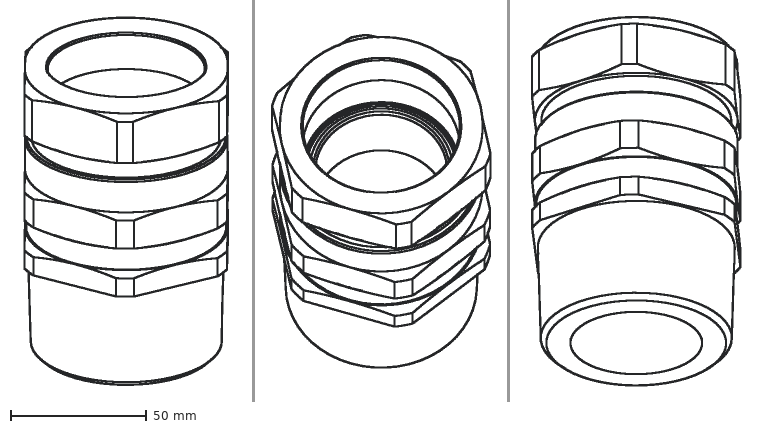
import cadquery as cq
import math


HEIGHT = 117.2
ENTRY_HEX_BOTTOM = 40.1
ENTRY_HEX_TOP = 49.0
BODY_BOTTOM = 58.3
BODY_HEX_TOP = 72.7
BODY_SHOULDER = 85.8
CAP_BOTTOM = 93.3
NECK_TOP = 99.8
CAP_HEX_TOP = 113.3

FLAT_RADIUS = 37.5
CAP_CORNER_RADIUS = 41.7
CORNER_RADIUS = 41.5
NECK_RADIUS = 35.2
SLEEVE_RADIUS = 37.0
SPIGOT_TOP_RADIUS = 36.5
SPIGOT_BOTTOM_RADIUS = 35.4

BORE_RADIUS = 29.1
LIP_RADIUS = 29.7
LIP_FILLET = 2.8
LIP_DEPTH = 3.5
LEDGE_HEIGHT = 84.4
LEDGE_INNER_RADIUS = 28.4
VALLEY_HEIGHT = 83.6
VALLEY_RADIUS = 27.9
RIM_HEIGHT = 84.2
RIM_OUTER_RADIUS = 26.5
RIM_INNER_RADIUS = 25.2
RIM_CHAMFER_DEPTH = 1.0
PASSAGE_RADIUS = 24.4

COLLAR_FILLET = 1.0
SHOULDER_CHAMFER = 0.7
SPIGOT_CHAMFER = 2.1
HEX_CHAMFER_ANGLE = 20.0


def turned(points):
    """Solid of revolution about Z from (radius, height) points."""
    return cq.Workplane("XZ").polyline(points).close().revolve(360, (0, 0), (0, 1))


def cylinder(radius, bottom, top):
    return cq.Workplane("XY").workplane(offset=bottom).circle(radius).extrude(top - bottom)


def hexagon(bottom, top, corner_radius, bottom_chamfer=True):
    """Hexagon with flats on +X and -X, its corners turned round and chamfered."""
    drop = (corner_radius - FLAT_RADIUS) * math.tan(math.radians(HEX_CHAMFER_ANGLE))
    across_corners = 2 * FLAT_RADIUS / math.cos(math.pi / 6)
    prism = (
        cq.Workplane("XY")
        .workplane(offset=bottom)
        .polygon(6, across_corners)
        .extrude(top - bottom)
        .rotate((0, 0, 0), (0, 0, 1), 30)
    )
    if bottom_chamfer:
        lower_edge = [(FLAT_RADIUS, bottom), (corner_radius, bottom + drop)]
    else:
        lower_edge = [(corner_radius, bottom)]
    upper_edge = [(corner_radius, top - drop), (FLAT_RADIUS, top)]
    blank = turned([(0, bottom)] + lower_edge + upper_edge + [(0, top)])
    return prism.intersect(blank)


def make_entry():
    """Tapered spigot, hexagon and sleeve, with the lower part of the narrow bore."""
    spigot = turned([
        (0, 0),
        (SPIGOT_BOTTOM_RADIUS - SPIGOT_CHAMFER, 0),
        (SPIGOT_BOTTOM_RADIUS, SPIGOT_CHAMFER),
        (SPIGOT_TOP_RADIUS, ENTRY_HEX_BOTTOM),
        (0, ENTRY_HEX_BOTTOM),
    ])
    flange = hexagon(ENTRY_HEX_BOTTOM, ENTRY_HEX_TOP, CORNER_RADIUS, bottom_chamfer=False)
    sleeve = cylinder(SLEEVE_RADIUS, ENTRY_HEX_TOP, BODY_BOTTOM)
    bore = cylinder(PASSAGE_RADIUS, 0, BODY_BOTTOM)
    return spigot.union(flange).union(sleeve).cut(bore)


def make_body():
    """Hexagon, barrel and neck, with a valley and a rim between the narrow and wide bores."""
    barrel = cylinder(FLAT_RADIUS, BODY_HEX_TOP, BODY_SHOULDER).faces(">Z").chamfer(SHOULDER_CHAMFER)
    neck = cylinder(NECK_RADIUS, BODY_SHOULDER, NECK_TOP)
    bore = turned([
        (0, BODY_BOTTOM),
        (PASSAGE_RADIUS, BODY_BOTTOM),
        (PASSAGE_RADIUS, RIM_HEIGHT - RIM_CHAMFER_DEPTH),
        (RIM_INNER_RADIUS, RIM_HEIGHT),
        (RIM_OUTER_RADIUS, RIM_HEIGHT),
        (VALLEY_RADIUS, VALLEY_HEIGHT),
        (LEDGE_INNER_RADIUS, LEDGE_HEIGHT),
        (BORE_RADIUS, LEDGE_HEIGHT),
        (BORE_RADIUS, NECK_TOP),
        (0, NECK_TOP),
    ])
    return hexagon(BODY_BOTTOM, BODY_HEX_TOP, CORNER_RADIUS).union(barrel).union(neck).cut(bore)


def make_cap():
    """Hexagon nut with a round collar, a rounded mouth and a recess for the body neck."""
    collar = cylinder(FLAT_RADIUS, CAP_HEX_TOP, HEIGHT).faces(">Z").edges().fillet(COLLAR_FILLET)
    recess = cylinder(NECK_RADIUS, CAP_BOTTOM, NECK_TOP)
    bore = cylinder(BORE_RADIUS, NECK_TOP, HEIGHT)
    lip_bottom = HEIGHT - LIP_DEPTH
    fillet_bottom = HEIGHT - LIP_FILLET
    arc_offset = LIP_FILLET * math.sqrt(0.5)
    arc_center_radius = LIP_RADIUS + LIP_FILLET
    mouth = (
        cq.Workplane("XZ")
        .moveTo(0, lip_bottom)
        .lineTo(BORE_RADIUS, lip_bottom)
        .lineTo(LIP_RADIUS, fillet_bottom)
        .threePointArc(
            (arc_center_radius - arc_offset, fillet_bottom + arc_offset),
            (arc_center_radius, HEIGHT),
        )
        .lineTo(0, HEIGHT)
        .close()
        .revolve(360, (0, 0), (0, 1))
    )
    nut = hexagon(CAP_BOTTOM, CAP_HEX_TOP, CAP_CORNER_RADIUS).union(collar)
    return nut.cut(recess).cut(bore).cut(mouth)


entry = make_entry()
body = make_body()
cap = make_cap()

result = cq.Compound.makeCompound([entry.solids().val(), body.solids().val(), cap.solids().val()])